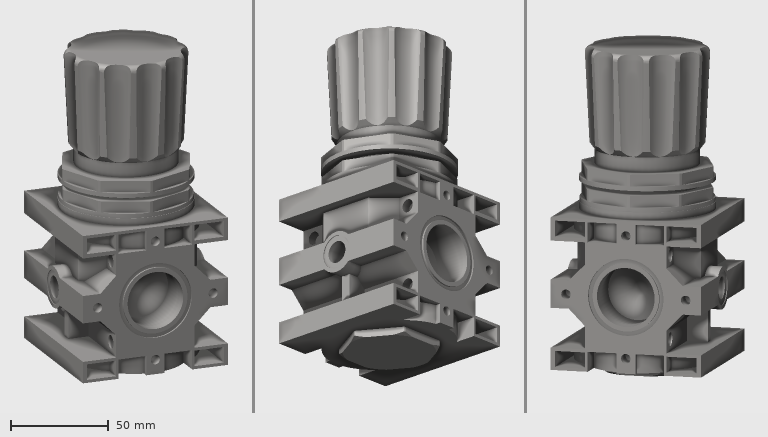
import cadquery as cq
import math

total_height = 167.6
body_bottom = 4.0
body_height = 79.3
body_top = body_bottom + body_height
body_mid = body_bottom + body_height / 2
ring_top = 87.2
lower_octagon_bottom = 89.5
lower_octagon_top = 95.5
nut_bottom = 98.2
nut_octagon_bottom = 100.5
nut_top = 106.6
grip_bottom = 114.3

body_width = 80.0
half_width = body_width / 2
half_height = body_height / 2
upper_flange_thickness = 12.0
lower_flange_thickness = 11.5
port_plate_half_width = 21.6
side_bar_half_height = 7.4
gusset_size = 8.7
core_half_depth = 32.8
core_half_length = 26.8
rib_thickness = 5.0

port_diameter = 30.7
port_depth = 20.6
seal_groove_outer_diameter = 40.0
seal_groove_inner_diameter = 35.4
seal_groove_depth = 1.0
gauge_boss_diameter = 22.1
gauge_recess_diameter = 18.0
gauge_recess_depth = 0.5
gauge_hole_diameter = 11.7
gauge_hole_depth = 13.4
plate_hole_diameter = 7.0
plate_hole_depth = 5.0
plate_hole_x = 32.7
plate_hole_z = 21.8
screw_hole_diameter = 5.0
screw_hole_depth = 8.4
screw_hole_pitch_radius = 31.8
drill_point_angle = 118.0

outer_pocket_wall_radius = 37.7
outer_pocket_wall_x = 0.0
inner_pocket_wall_radius = 26.8
inner_pocket_wall_x = -10.7
inner_pocket_start = 5.0
inner_pocket_end = 20.3
inner_pocket_height = 10.4
outer_pocket_height = 8.4
pocket_end_height = 38.0

corner_land_width = 1.5
nut_diameter = 70.0
lower_octagon_diameter = 69.5
neck_diameter = 55.0
plug_across_flats = 46.0
plug_turned_diameter = 52.6
plug_chamfer_width = 2.3
plug_chamfer_height = 1.3

collar_diameter = 54.0
flute_count = 12
flute_radius = 9.7
flute_floor_top_radius = 28.3
flute_floor_bottom_radius = 27.2
grip_top_radius = 32.2
grip_bottom_radius = 29.7
grip_top_fillet = 3.4
grip_bottom_bevel_height = 3.4


def box(x_range, y_range, z_range):
    """Box between two limits on each axis."""
    (x0, x1), (y0, y1), (z0, z1) = x_range, y_range, z_range
    return cq.Workplane("XY").box(x1 - x0, y1 - y0, z1 - z0, centered=False).translate((x0, y0, z0))


def disc(diameter, bottom, top):
    """Upright cylinder on the Z axis."""
    return cq.Workplane("XY").workplane(offset=bottom).circle(diameter / 2).extrude(top - bottom)


def octagon(diameter, bottom, top):
    """Octagonal prism with its corners turned down to narrow round lands, one on each of the axes."""
    half_land_angle = math.asin(corner_land_width / diameter)
    apothem = diameter / 2 * math.cos(math.pi / 8 - half_land_angle)
    corner_diameter = 2 * apothem / math.cos(math.pi / 8)
    prism = cq.Workplane("XY").workplane(offset=bottom).polygon(8, corner_diameter).extrude(top - bottom)
    return prism.intersect(disc(diameter, bottom, top))


def drilled_hole(diameter, depth):
    """Blind hole along +X from the origin, ending in a drill point."""
    radius = diameter / 2
    point_depth = radius / math.tan(math.radians(drill_point_angle / 2))
    profile = [(0, 0), (0, radius), (depth, radius), (depth + point_depth, 0)]
    return cq.Workplane("XY").polyline(profile).close().revolve(360, (0, 0, 0), (1, 0, 0))


def on_opposite_sides(shape):
    """The shape and its copy turned half a turn about Z."""
    return shape.union(shape.rotate((0, 0, 0), (0, 0, 1), 180))


def port_plate():
    """Cross-shaped section carrying the side bars, running the whole length along X."""
    bar_root = side_bar_half_height + gusset_size
    bar_start = port_plate_half_width + gusset_size
    quarter = [
        (half_width, side_bar_half_height),
        (bar_start, side_bar_half_height),
        (port_plate_half_width, bar_root),
        (port_plate_half_width, half_height),
    ]
    half = quarter + [(-y, z) for y, z in reversed(quarter)]
    outline = half + [(-y, -z) for y, z in half]
    return cq.Workplane("YZ").polyline(outline).close().extrude(half_width, both=True)


def flanges():
    """Square plates at the top and bottom of the body."""
    full = (-half_width, half_width)
    upper = box(full, full, (half_height - upper_flange_thickness, half_height))
    lower = box(full, full, (-half_height, lower_flange_thickness - half_height))
    return upper.union(lower)


def upper_core():
    """Block under the upper flange, with its upright corners cut back at 45 degrees."""
    slant = core_half_depth - port_plate_half_width
    core = cq.Workplane("XY").rect(2 * core_half_length, 2 * core_half_depth).extrude(half_height)
    return core.edges("|Z").chamfer(slant)


def lower_ribs():
    """Upright rib below each gauge boss, made as one slab through the body."""
    half_rib = rib_thickness / 2
    return box((-half_rib, half_rib), (-core_half_depth, core_half_depth), (-half_height, 0))


def gauge_bosses():
    """Round bosses on both long sides, made as one bar through the body."""
    return cq.Workplane("XZ").circle(gauge_boss_diameter / 2).extrude(half_width, both=True)


def ports():
    """Main port with its seal groove, at both ends of X."""
    hole = drilled_hole(port_diameter, port_depth)
    groove = (
        cq.Workplane("YZ")
        .circle(seal_groove_outer_diameter / 2)
        .circle(seal_groove_inner_diameter / 2)
        .extrude(seal_groove_depth)
    )
    return on_opposite_sides(hole.union(groove).translate((-half_width, 0, 0)))


def gauge_ports():
    """Gauge hole with a shallow recess, in both bosses."""
    hole = drilled_hole(gauge_hole_diameter, gauge_hole_depth)
    recess = cq.Workplane("YZ").circle(gauge_recess_diameter / 2).extrude(gauge_recess_depth)
    port = hole.union(recess).rotate((0, 0, 0), (0, 0, 1), 90)
    return on_opposite_sides(port.translate((0, -half_width, 0)))


def screw_holes():
    """Four drilled holes around the main port, at both ends of X."""
    hole = drilled_hole(screw_hole_diameter, screw_hole_depth)
    first = hole.translate((-half_width, 0, screw_hole_pitch_radius))
    holes = cq.Workplane("XY")
    for turn in range(4):
        holes = holes.add(first.rotate((0, 0, 0), (1, 0, 0), 90 * turn).vals())
    return on_opposite_sides(holes.combine())


def plate_holes():
    """Flat-bottomed holes near the corners of both long sides of the port plate."""
    spots = [(x, z) for x in (-plate_hole_x, plate_hole_x) for z in (-plate_hole_z, plate_hole_z)]
    holes = (
        cq.Workplane("XZ", origin=(0, port_plate_half_width, 0))
        .pushPoints(spots)
        .circle(plate_hole_diameter / 2)
        .extrude(plate_hole_depth)
    )
    return on_opposite_sides(holes)


def pocket_set(y_range, upper_z, lower_z, wall_radius, wall_x):
    """Pockets of one kind in both flanges, at both ends of X, mirrored in Y."""
    x_range = (-half_width, wall_x)
    pockets = box(x_range, y_range, upper_z).union(box(x_range, y_range, lower_z))
    pockets = pockets.cut(disc(2 * wall_radius, -half_height, half_height).translate((wall_x, 0, 0)))
    return on_opposite_sides(pockets.union(pockets.mirror("XZ")))


def inner_pockets():
    """Pockets beside the screw holes; the lower ones are open to the underside."""
    y_range = (inner_pocket_start, inner_pocket_end)
    upper_z = (pocket_end_height - inner_pocket_height, pocket_end_height)
    lower_z = (-half_height, inner_pocket_height - half_height)
    return pocket_set(y_range, upper_z, lower_z, inner_pocket_wall_radius, inner_pocket_wall_x)


def outer_pockets():
    """Pockets in the overhanging ends of the flanges, closed above and below."""
    y_range = (port_plate_half_width, outer_pocket_wall_radius)
    upper_z = (pocket_end_height - outer_pocket_height, pocket_end_height)
    lower_z = (-pocket_end_height, outer_pocket_height - pocket_end_height)
    return pocket_set(y_range, upper_z, lower_z, outer_pocket_wall_radius, outer_pocket_wall_x)


def make_body():
    body = port_plate().union(flanges()).union(upper_core()).union(lower_ribs()).union(gauge_bosses())
    for cutter in (ports(), gauge_ports(), screw_holes(), plate_holes(), inner_pockets(), outer_pockets()):
        body = body.cut(cutter)
    return body.translate((0, 0, body_mid))


def make_plug():
    """Hexagon head under the body, with turned corners and a beveled lower rim."""
    corner_diameter = plug_across_flats / math.cos(math.pi / 6)
    head = cq.Workplane("XY").polygon(6, corner_diameter).extrude(body_bottom)
    head = head.rotate((0, 0, 0), (0, 0, 1), 90)
    bevel = disc(plug_turned_diameter, 0, body_bottom)
    bevel = bevel.faces("<Z").chamfer(plug_chamfer_height, plug_chamfer_width)
    return head.intersect(bevel)


def make_bonnet():
    """Round base ring, octagon on a short disc, and the neck that carries nut and knob."""
    return (
        disc(nut_diameter, body_top, ring_top)
        .union(disc(lower_octagon_diameter, ring_top, lower_octagon_bottom))
        .union(octagon(lower_octagon_diameter, lower_octagon_bottom, lower_octagon_top))
        .union(disc(neck_diameter, lower_octagon_top, nut_top))
    )


def make_nut():
    """Octagonal nut with a round washer face below, bored for the neck."""
    blank = disc(nut_diameter, nut_bottom, nut_octagon_bottom)
    blank = blank.union(octagon(nut_diameter, nut_octagon_bottom, nut_top))
    return blank.cut(disc(neck_diameter, nut_bottom, nut_top))


def grip_blank():
    """Tapered grip with a rounded top edge and a beveled bottom edge."""
    profile = [
        (0, grip_bottom),
        (collar_diameter / 2, grip_bottom),
        (grip_bottom_radius, grip_bottom + grip_bottom_bevel_height),
        (grip_top_radius, total_height),
        (0, total_height),
    ]
    grip = cq.Workplane("XZ").polyline(profile).close().revolve(360, (0, 0, 0), (0, 1, 0))
    return grip.faces(">Z").edges().fillet(grip_top_fillet)


def flute_cutter():
    """Round bar on the +X side, leaning outward with the taper of the flute floors."""
    lean = math.atan2(flute_floor_top_radius - flute_floor_bottom_radius, total_height - grip_bottom)
    foot = cq.Vector(flute_floor_bottom_radius + flute_radius, 0, grip_bottom)
    direction = cq.Vector(math.sin(lean), 0, math.cos(lean))
    reach = total_height - grip_bottom + flute_radius
    return cq.Workplane("XY").add(
        cq.Solid.makeCylinder(flute_radius, 2 * reach, foot - direction * reach, direction)
    )


def make_knob():
    knob = grip_blank()
    cutter = flute_cutter()
    for index in range(flute_count):
        knob = knob.cut(cutter.rotate((0, 0, 0), (0, 0, 1), 360 / flute_count * index))
    return knob.union(disc(collar_diameter, nut_top, grip_bottom))


body = make_body()
plug = make_plug()
bonnet = make_bonnet()
nut = make_nut()
knob = make_knob()

result = cq.Compound.makeCompound([body.val(), plug.val(), bonnet.val(), nut.val(), knob.val()])